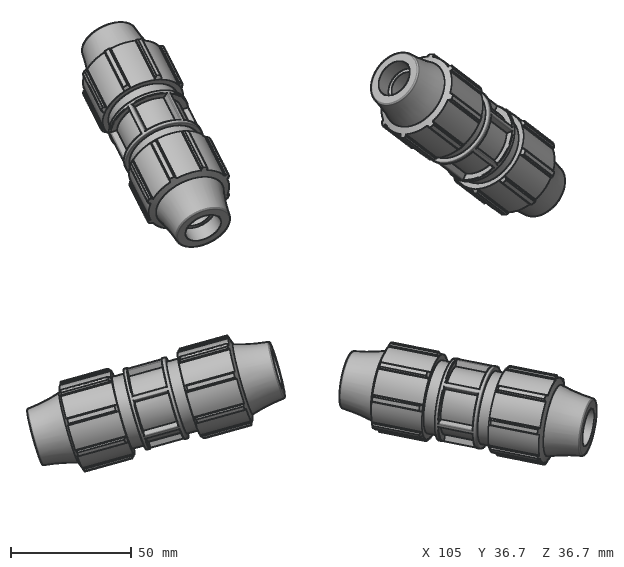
import cadquery as cq
import math

HALF_LENGTH = 52.5

BODY_RADIUS = 31.2 / 2
FLANGE_RADIUS = 35.1 / 2
FLANGE_OUTER_X = 9.1
FLANGE_INNER_X = 7.4
WINDOW_FLOOR_RADIUS = 14.6
BAR_COUNT = 6
BAR_WIDTH = 2.0
BAND_EDGE_FILLET = 0.25

NUT_RADIUS = 18.1
NUT_INNER_X = 14.45
NUT_OUTER_X = 37.65
NUT_SHOULDER_RADIUS = 15.2
NUT_SHOULDER_DEPTH = 1.1

NOSE_END_RADIUS = 12.2
NOSE_SAG = 0.4
NOSE_FILLET = 0.6

RIB_COUNT = 8
RIB_TOP_DISTANCE = 19.45
RIB_TOP_WIDTH = 2.0
RIB_BASE_WIDTH = 3.0
RIB_FLANK_DISTANCE = 18.65
RIB_ROOT_OVERLAP = 1.0
RIB_BEVEL_LENGTH = 1.15
RIB_BEVEL_STEP = 0.05

BORE_RADIUS = 12.8 / 2
SOCKET_RADIUS = 16.0 / 2
SOCKET_DEPTH = 7.0


def revolve_about_x(profile):
    """Turn a closed (x, radius) profile about the X axis."""
    return profile.close().revolve(360, (0, 0, 0), (1, 0, 0))


def x_cylinder(radius, x_start, x_end):
    """Solid cylinder along X between two stations."""
    return cq.Workplane("YZ", origin=(x_start, 0, 0)).circle(radius).extrude(x_end - x_start)


def lies_on_flange(face):
    """True when every corner of the face is at the flange radius."""
    return all(math.isclose(math.hypot(corner.Y, corner.Z), FLANGE_RADIUS) for corner in face.Vertices())


def make_body():
    """Plain barrel with a flanged band whose windows are separated by bars."""
    barrel = x_cylinder(BODY_RADIUS, -NUT_INNER_X, NUT_INNER_X)
    band = x_cylinder(FLANGE_RADIUS, -FLANGE_OUTER_X, FLANGE_OUTER_X)
    window_ring = x_cylinder(FLANGE_RADIUS, -FLANGE_INNER_X, FLANGE_INNER_X).cut(
        x_cylinder(WINDOW_FLOOR_RADIUS, -FLANGE_INNER_X, FLANGE_INNER_X)
    )
    for index in range(BAR_COUNT // 2):
        bar_pair = cq.Workplane("XY").box(2 * FLANGE_INNER_X, 2 * FLANGE_RADIUS, BAR_WIDTH)
        bar_pair = bar_pair.rotate((0, 0, 0), (1, 0, 0), index * 360 / BAR_COUNT)
        window_ring = window_ring.cut(bar_pair)
    body = barrel.union(band).cut(window_ring)
    outer_surface = body.faces("%CYLINDER").filter(lies_on_flange)
    return outer_surface.edges().fillet(BAND_EDGE_FILLET)


def make_nose():
    """Concave tapered nose with a rounded end."""
    mid_x = (NUT_OUTER_X + HALF_LENGTH) / 2
    mid_radius = (NUT_SHOULDER_RADIUS + NOSE_END_RADIUS) / 2 - NOSE_SAG
    profile = (
        cq.Workplane("XY")
        .moveTo(NUT_OUTER_X, 0)
        .lineTo(NUT_OUTER_X, NUT_SHOULDER_RADIUS)
        .threePointArc((mid_x, mid_radius), (HALF_LENGTH, NOSE_END_RADIUS))
        .lineTo(HALF_LENGTH, 0)
    )
    return revolve_about_x(profile).faces(">X").edges().fillet(NOSE_FILLET)


def make_nut_envelope():
    """Turned blank that bevels the ribs and cones the outer shoulder."""
    blank_radius = RIB_TOP_DISTANCE + RIB_BASE_WIDTH
    bevel_start_radius = NUT_RADIUS + RIB_BEVEL_STEP
    bevel_slope = RIB_BEVEL_LENGTH / (RIB_TOP_DISTANCE - bevel_start_radius)
    shoulder_slope = NUT_SHOULDER_DEPTH / (NUT_RADIUS - NUT_SHOULDER_RADIUS)
    bevel_top_x = NUT_INNER_X + bevel_slope * (blank_radius - bevel_start_radius)
    shoulder_top_x = NUT_OUTER_X - shoulder_slope * (blank_radius - NUT_SHOULDER_RADIUS)
    profile = (
        cq.Workplane("XY")
        .moveTo(NUT_INNER_X, 0)
        .lineTo(NUT_INNER_X, bevel_start_radius)
        .lineTo(bevel_top_x, blank_radius)
        .lineTo(shoulder_top_x, blank_radius)
        .lineTo(NUT_OUTER_X, NUT_SHOULDER_RADIUS)
        .lineTo(NUT_OUTER_X, 0)
    )
    return revolve_about_x(profile)


def make_rib():
    """Grip rib with chamfered top corners on the +Z side, rooted inside the nut."""
    root_distance = NUT_RADIUS - RIB_ROOT_OVERLAP
    return (
        cq.Workplane("YZ", origin=(NUT_INNER_X, 0, 0))
        .moveTo(-RIB_BASE_WIDTH / 2, root_distance)
        .lineTo(-RIB_BASE_WIDTH / 2, RIB_FLANK_DISTANCE)
        .lineTo(-RIB_TOP_WIDTH / 2, RIB_TOP_DISTANCE)
        .lineTo(RIB_TOP_WIDTH / 2, RIB_TOP_DISTANCE)
        .lineTo(RIB_BASE_WIDTH / 2, RIB_FLANK_DISTANCE)
        .lineTo(RIB_BASE_WIDTH / 2, root_distance)
        .close()
        .extrude(NUT_OUTER_X - NUT_INNER_X)
    )


def make_nut():
    """Ribbed nut on the +X side, complete with its nose."""
    nut = x_cylinder(NUT_RADIUS, NUT_INNER_X, NUT_OUTER_X)
    rib = make_rib()
    pitch = 360 / RIB_COUNT
    for index in range(RIB_COUNT):
        nut = nut.union(rib.rotate((0, 0, 0), (1, 0, 0), (index + 0.5) * pitch))
    return nut.intersect(make_nut_envelope()).union(make_nose())


def make_bore():
    """Through bore with a wider pipe socket at each end."""
    bore = x_cylinder(BORE_RADIUS, -HALF_LENGTH, HALF_LENGTH)
    socket = x_cylinder(SOCKET_RADIUS, HALF_LENGTH - SOCKET_DEPTH, HALF_LENGTH)
    return bore.union(socket).union(socket.mirror("YZ"))


nut = make_nut()
result = make_body().union(nut).union(nut.mirror("YZ")).cut(make_bore())